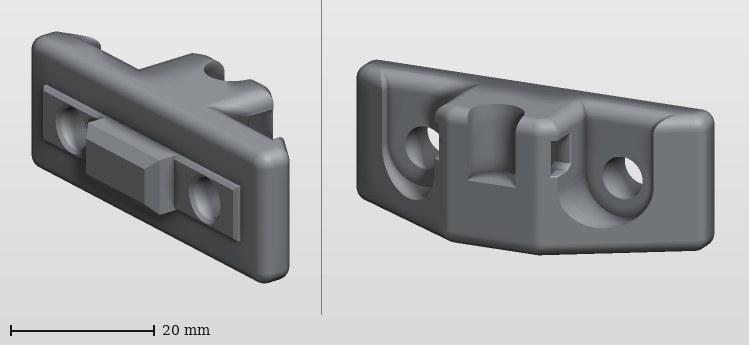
import cadquery as cq

BODY_LENGTH = 54.0
BODY_DEPTH = 17.0
BODY_HEIGHT = 20.0
END_DEPTH = 5.0
BACK_WIDTH = 14.0
EDGE_RADIUS = 2.0

KEY_HEIGHT = 8.3
PAD_LENGTH = 44.4
PAD_DEPTH = 1.0
PAD_CHAMFER = 0.5
TONGUE_LENGTH = 16.4
TONGUE_DEPTH = 5.0
TONGUE_CHAMFER = 1.5

HOLE_X = 15.25
HOLE_DIAMETER = 6.2
HOLE_CHAMFER = 0.5
SLOT_RADIUS = 5.75
SLOT_FLOOR_Y = 6.65
SLOT_RIM_RADIUS = 2.1

NOTCH_RADIUS = 4.0
NOTCH_Y = 15.55
NOTCH_FLOOR_Z = 0.0

RECESS_RADIUS = 6.0
RECESS_X = 13.0
RECESS_Y = 11.7
RECESS_FRONT_Y = 11.3
RECESS_BOTTOM_Z = 2.1
RECESS_TOP_Z = 7.1
RECESS_BEVEL_Y = 1.2
RECESS_BEVEL_Z = 0.6
RECESS_CHAMFER = 0.2
RECESS_MOUTH_DEPTH = 0.9

SELECT_MARGIN = 0.1
SIDES = (-1, 1)


def body():
    half_length = BODY_LENGTH / 2
    half_back = BACK_WIDTH / 2
    outline = [
        (-half_length, 0),
        (half_length, 0),
        (half_length, END_DEPTH),
        (half_back, BODY_DEPTH),
        (-half_back, BODY_DEPTH),
        (-half_length, END_DEPTH),
    ]
    block = cq.Workplane("XY").polyline(outline).close().extrude(BODY_HEIGHT / 2, both=True)
    return block.edges().fillet(EDGE_RADIUS)


def slot(x):
    """Slot open to the top and the back, with a half-round bottom around the screw axis."""
    depth = BODY_DEPTH - SLOT_FLOOR_Y
    bottom = cq.Workplane("XZ", origin=(x, BODY_DEPTH, 0)).circle(SLOT_RADIUS).extrude(depth)
    upper = cq.Workplane("XY", origin=(x, SLOT_FLOOR_Y, 0)).box(
        2 * SLOT_RADIUS, depth, BODY_HEIGHT / 2, centered=(True, False, False)
    )
    return bottom.union(upper)


def recess(side):
    """Pocket outline in YZ, run along X and trimmed by the vertical cylinder."""
    profile = [
        (RECESS_FRONT_Y, RECESS_TOP_Z),
        (RECESS_FRONT_Y, RECESS_BOTTOM_Z + RECESS_BEVEL_Z),
        (RECESS_FRONT_Y + RECESS_BEVEL_Y, RECESS_BOTTOM_Z),
        (BODY_DEPTH + RECESS_RADIUS, RECESS_BOTTOM_Z),
        (BODY_DEPTH + RECESS_RADIUS, RECESS_TOP_Z),
    ]
    pocket = cq.Workplane("YZ").polyline(profile).close().extrude(side * BODY_LENGTH / 2)
    wall = cq.Workplane("XY").center(side * RECESS_X, RECESS_Y).circle(RECESS_RADIUS).extrude(BODY_HEIGHT / 2)
    return pocket.intersect(wall)


def slotted_block():
    """Plain block with both slots, their top rims rounded with mitred corners."""
    block = cq.Workplane("XY").box(BODY_LENGTH, BODY_DEPTH, BODY_HEIGHT, centered=(True, False, True))
    for side in SIDES:
        block = block.cut(slot(side * HOLE_X))
    half_length = BODY_LENGTH / 2
    rim = cq.selectors.BoxSelector(
        (-half_length + SELECT_MARGIN, SELECT_MARGIN, 0),
        (half_length - SELECT_MARGIN, BODY_DEPTH - SELECT_MARGIN, BODY_HEIGHT),
    )
    return block.faces(">Z").edges(rim).fillet(SLOT_RIM_RADIUS)


def key():
    pad = cq.Workplane("XZ").rect(PAD_LENGTH, KEY_HEIGHT).extrude(PAD_DEPTH)
    pad = pad.faces("<Y").chamfer(PAD_CHAMFER)
    tongue = cq.Workplane("XZ").rect(TONGUE_LENGTH, KEY_HEIGHT).extrude(TONGUE_DEPTH)
    tongue = tongue.faces("<Y").chamfer(TONGUE_CHAMFER)
    return pad.union(tongue)


def screw_hole(x):
    """Through hole with a countersunk mouth in the pad face."""
    hole_radius = HOLE_DIAMETER / 2
    mouth_radius = hole_radius + HOLE_CHAMFER
    profile = [
        (0, -PAD_DEPTH),
        (mouth_radius, -PAD_DEPTH),
        (hole_radius, HOLE_CHAMFER - PAD_DEPTH),
        (hole_radius, BODY_DEPTH),
        (0, BODY_DEPTH),
    ]
    hole = cq.Workplane("XY").polyline(profile).close().revolve(axisStart=(0, 0, 0), axisEnd=(0, 1, 0))
    return hole.translate((x, 0, 0))


def notch():
    return cq.Workplane("XY", origin=(0, NOTCH_Y, NOTCH_FLOOR_Z)).circle(NOTCH_RADIUS).extrude(BODY_HEIGHT)


def recess_mouth(side):
    """Selects the edges where a recess opens into the slot wall and the slope."""
    wall_x = HOLE_X - SLOT_RADIUS
    x_limits = sorted((side * (wall_x + SELECT_MARGIN), side * (wall_x - RECESS_MOUTH_DEPTH)))
    return cq.selectors.BoxSelector(
        (x_limits[0], RECESS_FRONT_Y - SELECT_MARGIN, RECESS_BOTTOM_Z - SELECT_MARGIN),
        (x_limits[1], BODY_DEPTH - SELECT_MARGIN, RECESS_TOP_Z + SELECT_MARGIN),
    )


result = body().intersect(slotted_block()).union(key()).cut(notch())
for side in SIDES:
    result = result.cut(screw_hole(side * HOLE_X))
    result = result.cut(recess(side))
    result = result.edges(recess_mouth(side)).chamfer(RECESS_CHAMFER)